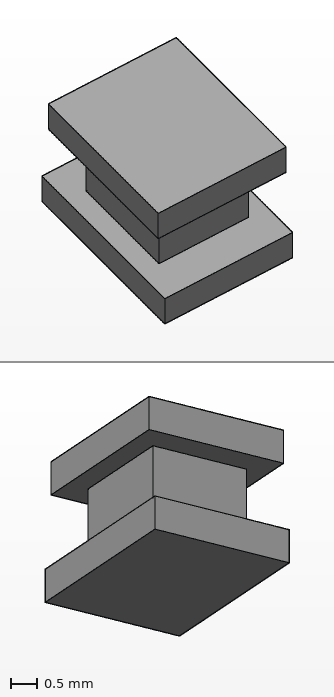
import cadquery as cq

base_length = 4.0
width = 3.0
total_height = 2.85

flange_thickness = 0.69
top_length = 3.57
post_length = 2.37
post_width = 2.09

post_height = total_height - 2 * flange_thickness
top_bottom_z = total_height - flange_thickness


def block(length, depth, height, bottom_z):
    """Box centred on the Z axis, standing on the plane at bottom_z."""
    plane = cq.Workplane("XY").workplane(offset=bottom_z)
    return plane.box(length, depth, height, centered=(True, True, False))


base = block(base_length, width, flange_thickness, 0)

post = block(post_length, post_width, post_height, flange_thickness)
top_flange = block(top_length, width, flange_thickness, top_bottom_z)
spool = post.union(top_flange)

result = cq.Compound.makeCompound([base.val(), spool.val()])